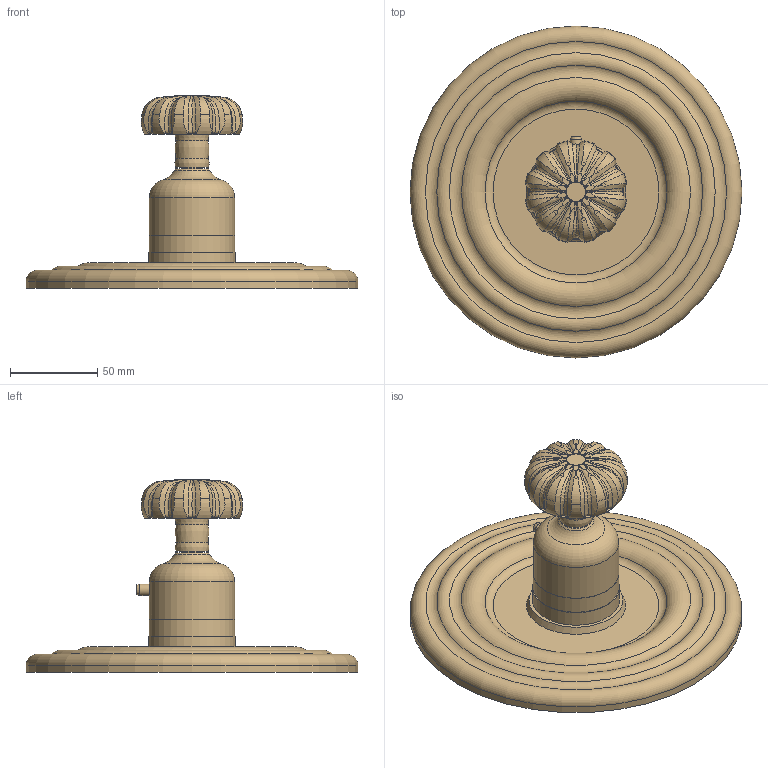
import cadquery as cq
import math

OVERALL_HEIGHT = 110.67
PLATE_DIAMETER = 190.5
PLATE_RADIUS = PLATE_DIAMETER / 2

RIM_HEIGHT = 4.1
FLOOR_RADIUS = 47.6
FLOOR_HEIGHT = 8.0
RING_INFLECTIONS = (
    (86.4, 9.94),
    (79.9, 11.1),
    (72.7, 11.83),
    (65.7, 12.43),
    (52.2, 10.42),
)

HUB_BOTTOM_RADIUS = 28.5
HUB_TOP_RADIUS = 27.0
HUB_TOP = 11.9
COLLAR_RADIUS = 25.0
COLLAR_TOP = 20.7

HOUSING_RADIUS = 24.5
SCALE_BAND_TOP = 30.5
SCALE_BAND_RELIEF = 0.1
SHOULDER_START = 52.1
SHOULDER_END = (16.6, 62.5)
NECK_START = (10.2, 67.7)
NECK_TOP_RADIUS = 9.3
NECK_TOP = 68.8

SPINDLE_RADIUS = 5.0
STEM_BOTTOM = 69.4
STEM_LOWER_WAIST = 74.6
STEM_UPPER_WAIST = 84.8
STEM_WAIST_RADIUS = 9.3
STEM_END_RADIUS = 9.4
STEM_BEAD_RADIUS = 9.8
STEM_BULGE_RADIUS = 9.8

KNOB_BOTTOM = 88.4
KNOB_BOTTOM_RADIUS = 27.2
KNOB_RADIUS = 29.5
KNOB_WIDEST = 95.0
KNOB_SIDE_TOP = (29.1, 99.7)
KNOB_SHOULDER_MIDDLE = (26.0, 106.0)
KNOB_SHOULDER_END = (17.2, 109.8)
KNOB_TOP_MIDDLE = (11.5, 110.35)
KNOB_CROWN_RADIUS = 5.5
FLUTE_COUNT = 12
FLUTE_HALF_WIDTH = 7.4
FLUTE_FLOOR_HALF_WIDTH = 2.1
FLUTE_DEPTH = 2.7
FLUTE_BOTTOM_RADIUS = 28.6
FLUTE_CLEARANCE = 3.0
FLUTE_SPANS = 8

PIN_RADIUS = 3.3
PIN_HEIGHT = 47.4
PIN_REACH = 31.9
PIN_TAPER_LENGTH = 2.0
PIN_TAPER_DEPTH = 0.5


def s_curve(profile, start, end, inflection_x):
    """Add two tangent arcs, level at both ends, that change curvature at inflection_x."""
    run = end[0] - start[0]
    rise = end[1] - start[1]
    share = (inflection_x - start[0]) / run
    steepest = 2 * math.atan(abs(rise / run))
    across = math.sin(steepest / 2) / math.sin(steepest)
    along = (1 - math.cos(steepest / 2)) / (1 - math.cos(steepest))
    inflection = (inflection_x, start[1] + share * rise)
    first_middle = (start[0] + share * run * across, start[1] + share * rise * along)
    second_middle = (end[0] - (1 - share) * run * across, end[1] - (1 - share) * rise * along)
    return profile.threePointArc(first_middle, inflection).threePointArc(second_middle, end)


def turned(profile):
    """Close an XZ half profile along the axis and revolve it about Z."""
    return profile.close().revolve(360, (0, 0, 0), (0, 1, 0))


def cover_plate():
    profile = cq.Workplane("XZ").lineTo(PLATE_RADIUS, 0).lineTo(PLATE_RADIUS, RIM_HEIGHT)
    for point in RING_INFLECTIONS:
        profile = profile.tangentArcPoint(point, relative=False)
    profile = profile.tangentArcPoint((FLOOR_RADIUS, FLOOR_HEIGHT), relative=False)
    return turned(profile.lineTo(0, FLOOR_HEIGHT))


def housing():
    band_radius = HOUSING_RADIUS + SCALE_BAND_RELIEF
    profile = (
        cq.Workplane("XZ")
        .lineTo(HUB_BOTTOM_RADIUS, 0)
        .lineTo(HUB_BOTTOM_RADIUS, FLOOR_HEIGHT)
        .lineTo(HUB_TOP_RADIUS, HUB_TOP)
        .lineTo(COLLAR_RADIUS, HUB_TOP)
        .lineTo(COLLAR_RADIUS, COLLAR_TOP)
        .lineTo(band_radius, COLLAR_TOP)
        .lineTo(band_radius, SCALE_BAND_TOP)
        .lineTo(HOUSING_RADIUS, SCALE_BAND_TOP)
        .lineTo(HOUSING_RADIUS, SHOULDER_START)
        .tangentArcPoint(SHOULDER_END, relative=False)
        .tangentArcPoint(NECK_START, relative=False)
        .lineTo(NECK_TOP_RADIUS, NECK_TOP)
        .lineTo(0, NECK_TOP)
    )
    return turned(profile)


def stem():
    bead_middle = (STEM_BOTTOM + STEM_LOWER_WAIST) / 2
    bulge_middle = (STEM_LOWER_WAIST + STEM_UPPER_WAIST) / 2
    profile = (
        cq.Workplane("XZ")
        .moveTo(0, SHOULDER_START)
        .lineTo(SPINDLE_RADIUS, SHOULDER_START)
        .lineTo(SPINDLE_RADIUS, STEM_BOTTOM)
        .lineTo(STEM_END_RADIUS, STEM_BOTTOM)
        .threePointArc((STEM_BEAD_RADIUS, bead_middle), (STEM_WAIST_RADIUS, STEM_LOWER_WAIST))
        .threePointArc((STEM_BULGE_RADIUS, bulge_middle), (STEM_WAIST_RADIUS, STEM_UPPER_WAIST))
        .lineTo(STEM_BEAD_RADIUS, KNOB_BOTTOM)
        .lineTo(STEM_BEAD_RADIUS, KNOB_WIDEST)
        .lineTo(0, KNOB_WIDEST)
    )
    return turned(profile)


def knob_outline(bottom_radius):
    """Outer curve of the knob, from its drawn-in bottom edge to the edge of the flat crown."""
    return (
        cq.Workplane("XZ")
        .moveTo(bottom_radius, KNOB_BOTTOM)
        .threePointArc((KNOB_RADIUS, KNOB_WIDEST), KNOB_SIDE_TOP)
        .threePointArc(KNOB_SHOULDER_MIDDLE, KNOB_SHOULDER_END)
        .threePointArc(KNOB_TOP_MIDDLE, (KNOB_CROWN_RADIUS, OVERALL_HEIGHT))
    )


def flute_section(path, position):
    """Flute cross-section at a position along the flute path, sized in proportion to the radius."""
    point = path.positionAt(position)
    tangent = path.tangentAt(position)
    plane = cq.Plane(origin=point, xDir=(0, 1, 0), normal=tangent)
    outward = 1 if plane.yDir.dot(cq.Vector(1, 0, 1)) > 0 else -1
    size = point.x / KNOB_RADIUS
    half = FLUTE_HALF_WIDTH * size
    floor_half = FLUTE_FLOOR_HALF_WIDTH * size
    depth = FLUTE_DEPTH * size * outward
    clearance = FLUTE_CLEARANCE * size * outward
    profile = cq.Workplane(plane).moveTo(-half, clearance).lineTo(-half, 0)
    profile = s_curve(profile, (-half, 0), (0, -depth), -floor_half)
    profile = s_curve(profile, (0, -depth), (half, 0), floor_half)
    return profile.lineTo(half, clearance).close().val()


def knob():
    body = turned(knob_outline(KNOB_BOTTOM_RADIUS).lineTo(0, OVERALL_HEIGHT).lineTo(0, KNOB_BOTTOM))
    path = knob_outline(FLUTE_BOTTOM_RADIUS).wire().val()
    sections = [flute_section(path, i / FLUTE_SPANS) for i in range(FLUTE_SPANS + 1)]
    cutter = cq.Workplane(cq.Solid.makeLoft(sections))
    for i in range(FLUTE_COUNT):
        body = body.cut(cutter.rotate((0, 0, 0), (0, 0, 1), i * 360 / FLUTE_COUNT))
    return body


def stop_pin():
    pin = cq.Workplane("XZ", origin=(0, 0, PIN_HEIGHT)).circle(PIN_RADIUS).extrude(-PIN_REACH)
    return pin.faces(">Y").chamfer(PIN_TAPER_LENGTH, PIN_TAPER_DEPTH)


result = cover_plate().union(housing()).union(stem()).union(knob()).union(stop_pin())